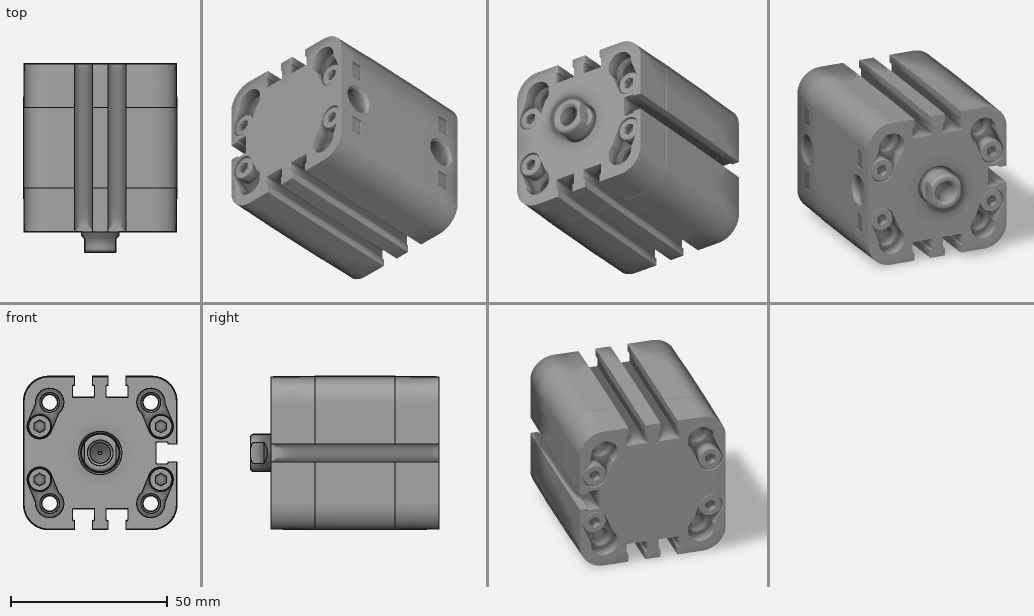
import cadquery as cq
import math


overall_length = 60.2
body_side = 49.0
cap_length = 14.0
tube_length = 25.65
corner_radius = 8.05
cap_setback = 0.05
cap_draft = 0.55
body_length = tube_length + 2 * cap_length
front_y = -body_length / 2
half_side = body_side / 2

slot_neck_width = 5.65
slot_inner_width = 6.9
slot_depth = 6.7
slot_lip = 2.95
slot_offset = 5.35
slot_corner_radius = 0.25

mount_offset = 16.15
mount_diameter = 4.95
mount_mouth_diameter = 6.3
mount_mouth_depth = 0.7
mount_pocket_diameter = 9.0
pocket_depth = 4.35

screw_x = 19.3
screw_z = 8.5
screw_pocket_diameter = 8.0
screw_head_diameter = 7.5
screw_head_chamfer = 0.25
screw_recess = 0.4
hex_across_flats = 3.5
hex_depth = 2.4

port_from_end = 7.7
port_diameter = 8.55
port_chamfer = 0.9
port_depth = 7.2
port_passage_diameter = 2.5
port_passage_offset = 2.05
port_passage_depth = 3.0

label_from_end = 7.0
label_offset = 10.9
label_length = 4.1
label_height = 6.1
label_depth = 0.65

rod_diameter = 12.0
rod_projection = overall_length - body_length
rod_end_y = front_y - rod_projection
rod_end_radius = 1.2
rod_flat_width = 10.0
rod_flat_length = 4.4
rod_bore_diameter = 6.6
rod_bore_mouth_diameter = 8.2
rod_bore_depth = 12.05
rod_drill_angle = 118.0
rod_drill_flat_diameter = 1.1
rod_clearance_diameter = 12.5
rod_recess_diameter = 13.8
rod_clearance_depth = 3.0


def facing_front(y):
    """Workplane across the axis at y, with its normal towards the front."""
    return cq.Workplane("XZ", origin=(0, y, 0))


def body_section(y, setback=0.0):
    """Rounded square, moved in evenly from the tube outline by the setback."""
    side = body_side - 2 * setback
    return facing_front(y).sketch().rect(side, side).vertices().fillet(corner_radius - setback).finalize()


def screw_pocket(side_x, side_z):
    """Slot-shaped pocket running from the screw to a wider round at the mounting hole."""
    mount = (side_x * mount_offset, side_z * mount_offset)
    screw = (side_x * screw_x, side_z * screw_z)
    run_x = mount[0] - screw[0]
    run_z = mount[1] - screw[1]
    run = math.hypot(run_x, run_z)
    channel = (
        facing_front(front_y)
        .center((mount[0] + screw[0]) / 2, (mount[1] + screw[1]) / 2)
        .transformed(rotate=(0, 0, math.degrees(math.atan2(run_z, run_x))))
        .slot2D(run + screw_pocket_diameter, screw_pocket_diameter)
        .extrude(-pocket_depth)
    )
    mount_round = facing_front(front_y).center(*mount).circle(mount_pocket_diameter / 2).extrude(-pocket_depth)
    return channel.union(mount_round)


def mounting_hole(side_x, side_z):
    """Hole reaching the middle of the body, with a conical mouth at the pocket floor."""
    radius = mount_diameter / 2
    mouth_radius = mount_mouth_diameter / 2
    floor_y = front_y + pocket_depth
    profile = [
        (0, floor_y),
        (mouth_radius, floor_y),
        (radius, floor_y + mount_mouth_depth),
        (radius, 0),
        (0, 0),
    ]
    hole = cq.Workplane("XY").polyline(profile).close().revolve(360, (0, 0), (0, 1))
    return hole.translate((side_x * mount_offset, 0, side_z * mount_offset))


def cap_screw(side_x, side_z):
    return (
        facing_front(front_y + pocket_depth)
        .center(side_x * screw_x, side_z * screw_z)
        .circle(screw_head_diameter / 2)
        .extrude(pocket_depth - screw_recess)
        .faces("<Y")
        .chamfer(screw_head_chamfer)
        .faces("<Y")
        .workplane()
        .transformed(rotate=(0, 0, 90))
        .polygon(6, hex_across_flats / math.cos(math.pi / 6))
        .cutBlind(-hex_depth)
    )


def air_port():
    """Chamfered port with a small off-centre passage in its floor."""
    face = cq.Workplane("YZ", origin=(-half_side, front_y + port_from_end, 0))
    mouth = face.circle(port_diameter / 2 + port_chamfer).workplane(offset=port_chamfer)
    mouth = mouth.circle(port_diameter / 2).loft()
    bore = face.circle(port_diameter / 2).extrude(port_depth)
    passage = face.center(port_passage_offset, 0).circle(port_passage_diameter / 2)
    return mouth.union(bore).union(passage.extrude(port_depth + port_passage_depth))


def label_panels():
    face = cq.Workplane("YZ", origin=(-half_side, front_y + label_from_end, 0))
    panels = face.pushPoints([(0, label_offset), (0, -label_offset)]).rect(label_length, label_height)
    return panels.extrude(label_depth)


def front_half():
    half = body_section(0).extrude(tube_length / 2)
    half = half.union(body_section(-tube_length / 2, cap_setback).extrude(cap_length, taper=cap_draft))
    half = half.cut(air_port()).cut(label_panels())
    for side_x in (-1, 1):
        for side_z in (-1, 1):
            half = half.cut(screw_pocket(side_x, side_z))
            half = half.cut(mounting_hole(side_x, side_z))
            half = half.union(cap_screw(side_x, side_z))
    return half


def t_slot():
    """T-slot cutter opening through the top face at X = 0, with rounded inner edges."""
    half_neck = slot_neck_width / 2
    half_inner = slot_inner_width / 2
    floor_z = half_side - slot_depth
    lip_z = half_side - slot_lip
    profile = [
        (-half_inner, floor_z),
        (half_inner, floor_z),
        (half_inner, lip_z),
        (half_neck, lip_z),
        (half_neck, half_side),
        (-half_neck, half_side),
        (-half_neck, lip_z),
        (-half_inner, lip_z),
    ]
    cutter = facing_front(-front_y).polyline(profile).close().extrude(body_length)
    return cutter.edges("|Y").edges("not >Z").fillet(slot_corner_radius)


def rod_clearance():
    """Bore around the rod, opening into a 45-degree recess at the front face."""
    radius = rod_clearance_diameter / 2
    recess_radius = rod_recess_diameter / 2
    profile = [
        (0, front_y),
        (recess_radius, front_y),
        (radius, front_y + recess_radius - radius),
        (radius, front_y + rod_clearance_depth),
        (0, front_y + rod_clearance_depth),
    ]
    return cq.Workplane("XY").polyline(profile).close().revolve(360, (0, 0), (0, 1))


def rod_bore():
    """Drilled bore with a countersunk mouth and a blunt conical bottom."""
    radius = rod_bore_diameter / 2
    mouth_radius = rod_bore_mouth_diameter / 2
    tip_radius = rod_drill_flat_diameter / 2
    tip_length = (radius - tip_radius) / math.tan(math.radians(rod_drill_angle / 2))
    profile = [
        (0, rod_end_y),
        (mouth_radius, rod_end_y),
        (radius, rod_end_y + mouth_radius - radius),
        (radius, rod_end_y + rod_bore_depth),
        (tip_radius, rod_end_y + rod_bore_depth + tip_length),
        (0, rod_end_y + rod_bore_depth + tip_length),
    ]
    return cq.Workplane("XY").polyline(profile).close().revolve(360, (0, 0), (0, 1))


def rod_flat():
    """Cutter for the +X wrench flat, ending in a 45-degree run-out."""
    flat_x = rod_flat_width / 2
    outer_x = rod_diameter / 2
    run_out = outer_x - flat_x
    profile = [
        (flat_x, rod_end_y),
        (flat_x, rod_end_y + rod_flat_length),
        (outer_x, rod_end_y + rod_flat_length + run_out),
        (outer_x, rod_end_y),
    ]
    return cq.Workplane("XY").polyline(profile).close().extrude(outer_x, both=True)


def piston_rod():
    rod = facing_front(front_y + rod_clearance_depth).circle(rod_diameter / 2)
    rod = rod.extrude(rod_projection + rod_clearance_depth).faces("<Y").edges().fillet(rod_end_radius)
    flat = rod_flat()
    return rod.cut(flat).cut(flat.mirror("YZ"))


front = front_half()
body = front.union(front.mirror("XZ"))

slot = t_slot()
for side in (-1, 1):
    top_slot = slot.translate((side * slot_offset, 0, 0))
    body = body.cut(top_slot).cut(top_slot.mirror("XY"))
body = body.cut(slot.rotate((0, 0, 0), (0, 1, 0), 90))

result = body.cut(rod_clearance()).union(piston_rod()).cut(rod_bore())